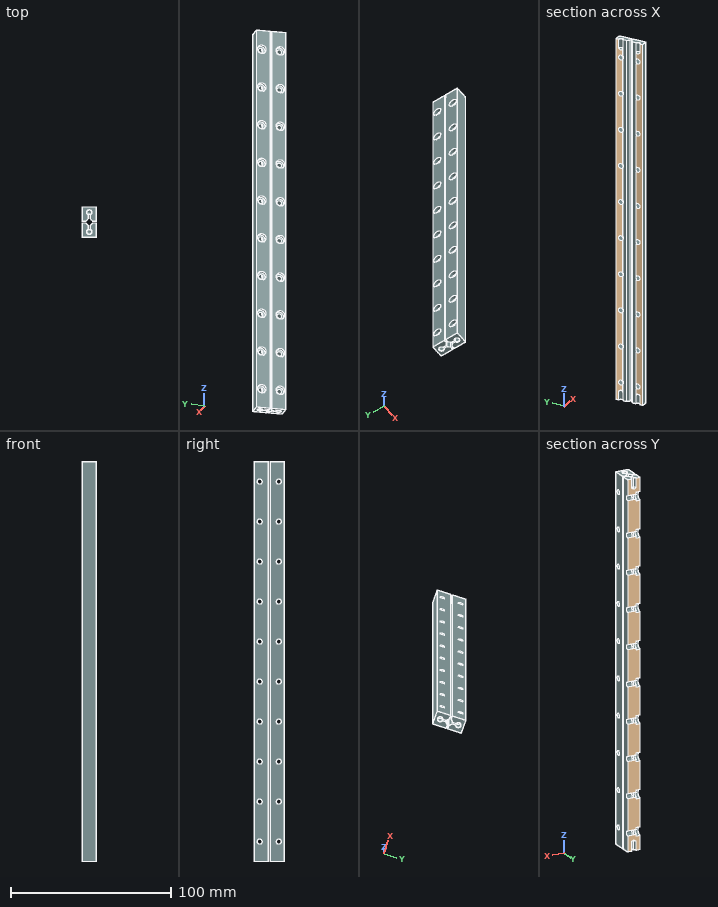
import cadquery as cq
import math

LENGTH = 250.0
WIDTH = 19.0
THICKNESS = 9.0
EDGE_CHAMFER = 0.08

RAIL_GAP = 1.0
CHANNEL_DIAGONAL = 5.2
RELIEF_WIDTH = 1.0
RELIEF_BOTTOM = 4.8

HOLE_OFFSET = 6.0
HOLE_PITCH = 25.0
HOLE_COUNT = 10
HOLE_DIAMETER = 3.0
COUNTERBORE_DIAMETER = 5.5
COUNTERBORE_DEPTH = 2.8

END_HOLE_DIAMETER = 3.0
END_COUNTERSINK_DIAMETER = 3.5
DRILL_POINT_ANGLE = 118
END_HOLE_DEPTH = 6.2

RAIL_FACE = RAIL_GAP / 2
GROOVE_BOTTOM = CHANNEL_DIAGONAL / 2
GROOVE_HALF_WIDTH = GROOVE_BOTTOM - RAIL_FACE


def grooved_bar():
    """Bar with a right-angled V groove facing the gap, standing on Z = 0 with its outer edges chamfered."""
    back = WIDTH / 2
    side = THICKNESS / 2
    bar = (
        cq.Workplane("XY")
        .moveTo(-side, back)
        .lineTo(-side, RAIL_FACE)
        .lineTo(-GROOVE_HALF_WIDTH, RAIL_FACE)
        .lineTo(0, GROOVE_BOTTOM)
        .lineTo(GROOVE_HALF_WIDTH, RAIL_FACE)
        .lineTo(side, RAIL_FACE)
        .lineTo(side, back)
        .close()
        .extrude(LENGTH)
    )
    long_edges = bar.edges("|Z and (<X or >X)")
    return long_edges.chamfer(EDGE_CHAMFER).faces("<Z or >Z").chamfer(EDGE_CHAMFER)


def relief_slot():
    """Narrow slot along the bottom of the V groove."""
    depth = RELIEF_BOTTOM - RAIL_FACE
    return (
        cq.Workplane("XY")
        .center(0, RAIL_FACE + depth / 2)
        .rect(RELIEF_WIDTH, depth)
        .extrude(LENGTH)
    )


def mounting_holes():
    """Row of counterbored through holes, centred on the rail length."""
    face = cq.Workplane("YZ", origin=(-THICKNESS / 2, HOLE_OFFSET, LENGTH / 2))
    face = face.rarray(2.5, HOLE_PITCH, 1, HOLE_COUNT)
    bores = face.circle(HOLE_DIAMETER / 2).extrude(THICKNESS)
    counterbores = face.circle(COUNTERBORE_DIAMETER / 2).extrude(COUNTERBORE_DEPTH)
    return bores.union(counterbores)


def end_holes():
    """Countersunk, drill-pointed blind hole in each end face, in line with the mounting holes."""
    hole_radius = END_HOLE_DIAMETER / 2
    mouth_radius = END_COUNTERSINK_DIAMETER / 2
    countersink_depth = mouth_radius - hole_radius
    point_height = hole_radius / math.tan(math.radians(DRILL_POINT_ANGLE / 2))
    bottom = (
        cq.Workplane("XZ", origin=(0, HOLE_OFFSET, 0))
        .moveTo(0, 0)
        .lineTo(mouth_radius, 0)
        .lineTo(hole_radius, countersink_depth)
        .lineTo(hole_radius, END_HOLE_DEPTH)
        .lineTo(0, END_HOLE_DEPTH + point_height)
        .close()
        .revolve(360, (0, 0, 0), (0, 1, 0))
    )
    top = bottom.mirror("XY").translate((0, 0, LENGTH))
    return bottom.union(top)


def make_rail():
    """Complete rail on the +Y side of the gap."""
    return grooved_bar().cut(relief_slot()).cut(mounting_holes()).cut(end_holes())


rails = []
for is_mirrored in (False, True):
    rail = make_rail()
    if is_mirrored:
        rail = rail.mirror("XZ")
    rails.append(rail.solids().val())

result = cq.Compound.makeCompound(rails)